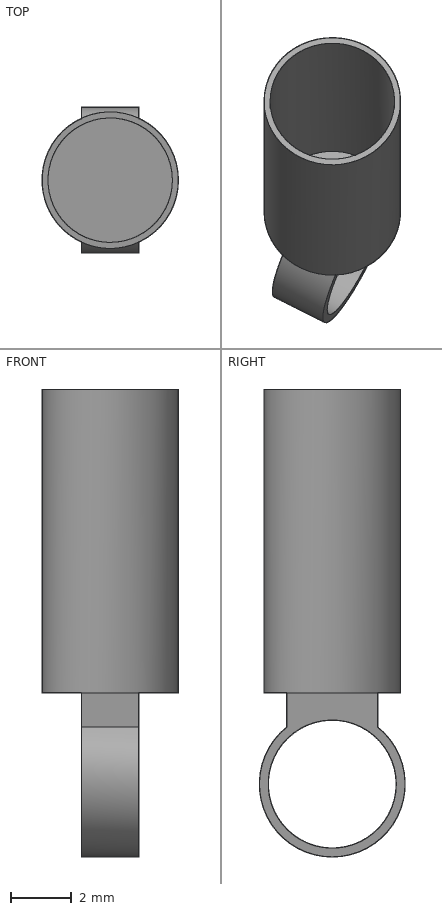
import cadquery as cq

total_height = 15.4
cup_diameter = 4.5
cup_height = 10.0
wall = 0.2

ring_diameter = 4.8
ring_bore = 4.2
ring_width = 1.9
neck_depth = 3.0

cup_bottom = total_height - cup_height
ring_center_z = ring_diameter / 2


def x_cylinder(diameter):
    """Cylinder along X, as wide as the ring and centred on the ring axis."""
    return (
        cq.Workplane("YZ")
        .workplane(offset=-ring_width / 2)
        .center(0, ring_center_z)
        .circle(diameter / 2)
        .extrude(ring_width)
    )


def make_cup():
    """Tube open at the top and closed by a thin floor."""
    body = cq.Workplane("XY").workplane(offset=cup_bottom).circle(cup_diameter / 2).extrude(cup_height)
    cavity = (
        cq.Workplane("XY")
        .workplane(offset=cup_bottom + wall)
        .circle(cup_diameter / 2 - wall)
        .extrude(cup_height - wall)
    )
    return body.cut(cavity)


def make_eyelet():
    """Ring with a rectangular neck rising to the cup floor."""
    neck = (
        cq.Workplane("XY")
        .workplane(offset=ring_center_z)
        .rect(ring_width, neck_depth)
        .extrude(cup_bottom - ring_center_z)
    )
    return x_cylinder(ring_diameter).union(neck).cut(x_cylinder(ring_bore))


result = make_cup().union(make_eyelet())